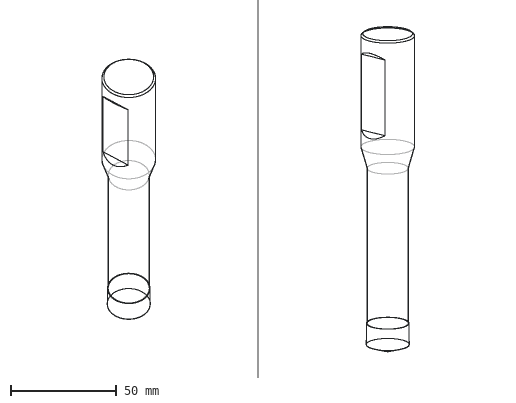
import cadquery as cq

total_length = 156.5

shank_radius = 25.4 / 2
neck_radius = 19.4 / 2
clamping_length = 55.7
transition_length = 10.5
top_chamfer = 1.0

flat_depth = 2.3
flat_floor_length = 37.2
flat_floor_bottom = 110.0

head_top_radius = 20.0 / 2
head_bottom_radius = 20.3 / 2
head_length = 10.5
point_height = 3.6

head_top = point_height + head_length
transition_top = total_length - clamping_length
transition_bottom = transition_top - transition_length
flat_floor_top = flat_floor_bottom + flat_floor_length


def make_flat_cutter():
    """Trapezoidal block that widens outward from the floor of the flat."""
    floor_y = flat_depth - shank_radius
    outer_y = -shank_radius
    profile = [
        (floor_y, flat_floor_bottom),
        (floor_y, flat_floor_top),
        (outer_y, flat_floor_top + flat_depth),
        (outer_y, flat_floor_bottom - flat_depth),
    ]
    return cq.Workplane("YZ").polyline(profile).close().extrude(shank_radius, both=True)


def make_shank():
    """Turned shank with a chamfered top and a clamping flat."""
    profile = [
        (0, head_top),
        (neck_radius, head_top),
        (neck_radius, transition_bottom),
        (shank_radius, transition_top),
        (shank_radius, total_length - top_chamfer),
        (shank_radius - top_chamfer, total_length),
        (0, total_length),
    ]
    blank = cq.Workplane("XZ").polyline(profile).close().revolve(360, (0, 0), (0, 1))
    return blank.cut(make_flat_cutter())


def make_cutting_head():
    """Cutting head seated against the lower end of the neck."""
    profile = [
        (0, 0),
        (head_bottom_radius, point_height),
        (head_top_radius, head_top),
        (0, head_top),
    ]
    return cq.Workplane("XZ").polyline(profile).close().revolve(360, (0, 0), (0, 1))


shank = make_shank()
cutting_head = make_cutting_head()

result = cq.Compound.makeCompound([shank.val(), cutting_head.val()])